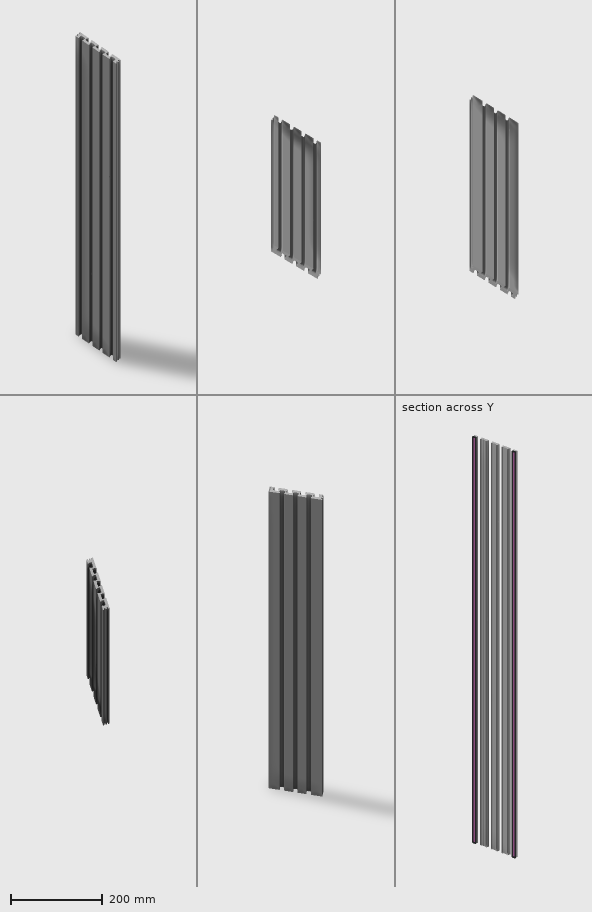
import cadquery as cq

WIDTH = 120.0
THICKNESS = 15.0
LENGTH = 1000.0

SLOT_PITCH = 30.0
FRONT_SLOT_COUNT = 4
BACK_SLOT_COUNT = FRONT_SLOT_COUNT - 1
MOUTH_WIDTH = 10.0
CAVITY_WIDTH = 12.0
LIP_THICKNESS = 3.0
SLOT_DEPTH = 9.0
CORNER_RADIUS = 0.4

GROOVE_WIDTH = 3.0
FLOOR_GROOVE_DEPTH = 0.5
SIDE_GROOVE_DEPTH = 3.0
SIDE_GROOVE_OFFSET = 3.0


def long_bar(center_x, width, y_start, y_end):
    """Full-length rectangular bar between two depths, given in either order."""
    return (
        cq.Workplane("XY")
        .center(center_x, (y_start + y_end) / 2)
        .rect(width, abs(y_end - y_start))
        .extrude(LENGTH)
    )


def t_slot(center_x, face_y, inward):
    """Cutter for a T-slot opening at face_y; inward is the Y sign pointing into the panel."""
    lip_y = face_y + inward * LIP_THICKNESS
    floor_y = face_y + inward * SLOT_DEPTH
    mouth = long_bar(center_x, MOUTH_WIDTH, face_y, floor_y)
    cavity = long_bar(center_x, CAVITY_WIDTH, lip_y, floor_y)
    return mouth.union(cavity)


def floor_groove(center_x, face_y, inward):
    """Cutter for the shallow groove along the middle of a slot floor."""
    floor_y = face_y + inward * SLOT_DEPTH
    return long_bar(center_x, GROOVE_WIDTH, floor_y, floor_y + inward * FLOOR_GROOVE_DEPTH)


def side_groove(side_x, center_y):
    """Cutter for a groove in a long narrow side; half of it lies outside the panel."""
    half_width = GROOVE_WIDTH / 2
    return long_bar(side_x, 2 * SIDE_GROOVE_DEPTH, center_y - half_width, center_y + half_width)


def slot_positions(count, face_y, inward):
    """Arguments for each slot of one face, evenly pitched about the middle of the width."""
    first = WIDTH / 2 - SLOT_PITCH * (count - 1) / 2
    return [(first + index * SLOT_PITCH, face_y, inward) for index in range(count)]


slots = slot_positions(FRONT_SLOT_COUNT, 0, 1) + slot_positions(BACK_SLOT_COUNT, THICKNESS, -1)

result = long_bar(WIDTH / 2, WIDTH, 0, THICKNESS)
for slot in slots:
    result = result.cut(t_slot(*slot))
result = result.edges("|Z").fillet(CORNER_RADIUS)

for slot in slots:
    result = result.cut(floor_groove(*slot))

for side_x in (0, WIDTH):
    for offset in (-SIDE_GROOVE_OFFSET, SIDE_GROOVE_OFFSET):
        result = result.cut(side_groove(side_x, THICKNESS / 2 + offset))